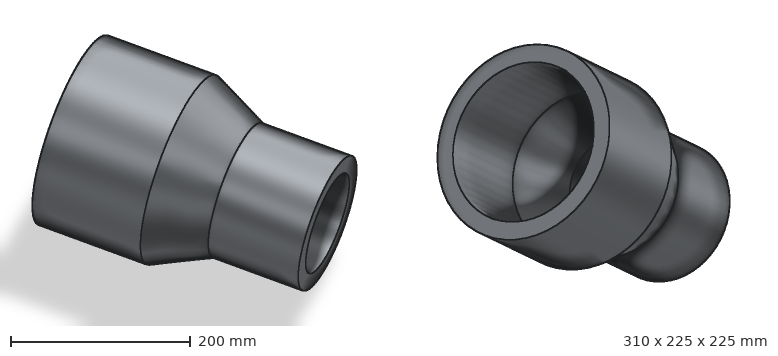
import math

import cadquery as cq

total_length = 310.0
cone_start = 132.0
cone_end = 200.3

large_outer_diameter = 225.0
small_outer_diameter = 160.0
wall_thickness = 20.5

large_bore_diameter = large_outer_diameter - 2 * wall_thickness
small_bore_diameter = small_outer_diameter - 2 * wall_thickness

radius_drop = (large_outer_diameter - small_outer_diameter) / 2
cone_angle = math.atan2(radius_drop, cone_end - cone_start)
bore_shift = wall_thickness * math.tan(cone_angle / 2)


def stepped_cone(large_diameter, small_diameter, taper_start, taper_end):
    """Solid of revolution about X: large cylinder, cone, small cylinder."""
    large_radius = large_diameter / 2
    small_radius = small_diameter / 2
    half_profile = (
        cq.Workplane("XY")
        .moveTo(0, 0)
        .lineTo(0, large_radius)
        .lineTo(taper_start, large_radius)
        .lineTo(taper_end, small_radius)
        .lineTo(total_length, small_radius)
        .lineTo(total_length, 0)
        .close()
    )
    return half_profile.revolve(360, (0, 0, 0), (1, 0, 0))


outer_body = stepped_cone(large_outer_diameter, small_outer_diameter, cone_start, cone_end)
bore = stepped_cone(
    large_bore_diameter,
    small_bore_diameter,
    cone_start - bore_shift,
    cone_end - bore_shift,
)
result = outer_body.cut(bore)